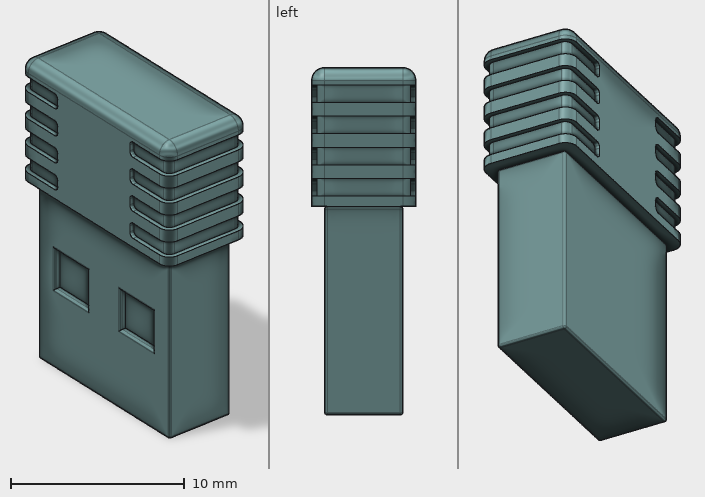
import cadquery as cq

PLUG_WIDTH = 12.0
PLUG_DEPTH = 4.5
PLUG_HEIGHT = 12.0
PLUG_EDGE_RADIUS = 0.15

CAP_OVERHANG = 0.75
CAP_WIDTH = PLUG_WIDTH + 2 * CAP_OVERHANG
CAP_DEPTH = PLUG_DEPTH + 2 * CAP_OVERHANG
CAP_HEIGHT = 8.0
CAP_RADIUS = 0.75
TOTAL_HEIGHT = PLUG_HEIGHT + CAP_HEIGHT

GROOVE_COUNT = 4
GROOVE_HEIGHT = 1.0
GROOVE_PITCH = 1.8
GROOVE_DEPTH = 0.3
GROOVE_LENGTH = 3.45
GROOVE_CORNER_RADIUS = 0.3
FIRST_GROOVE_DROP = 1.0

WINDOW_WIDTH = 3.0
WINDOW_HEIGHT = 2.65
WINDOW_POCKET_DEPTH = 0.4
WINDOW_SPACING = 6.0
WINDOW_BASE = 5.25
WINDOW_RIM_RADIUS = 0.15


def block(width, depth, height, base=0):
    """Box centred on the Z axis, standing at the given height."""
    box = cq.Workplane("XY").box(width, depth, height, centered=(True, True, False))
    return box.translate((0, 0, base))


def make_plug():
    """Connector block with every edge slightly rounded."""
    return block(PLUG_WIDTH, PLUG_DEPTH, PLUG_HEIGHT).edges().fillet(PLUG_EDGE_RADIUS)


def make_cap():
    """Housing with rounded vertical edges and a rounded top rim."""
    return block(CAP_WIDTH, CAP_DEPTH, CAP_HEIGHT, PLUG_HEIGHT).edges("|Z or >Z").fillet(CAP_RADIUS)


def groove_pair(top):
    """Cutter for one groove at each end of the cap, reaching around onto the broad faces."""
    base = top - GROOVE_HEIGHT
    core_width = CAP_WIDTH - 2 * GROOVE_DEPTH
    core_depth = CAP_DEPTH - 2 * GROOVE_DEPTH
    core = block(core_width, core_depth, GROOVE_HEIGHT, base)
    core = core.edges("|Z").fillet(CAP_RADIUS - GROOVE_DEPTH)

    land_width = CAP_WIDTH - 2 * GROOVE_LENGTH
    land = block(land_width, CAP_DEPTH, GROOVE_HEIGHT, base)
    land_reach = land_width / 2 + GROOVE_CORNER_RADIUS
    closed_ends = cq.selectors.BoxSelector(
        (-land_reach, -CAP_DEPTH, base - GROOVE_HEIGHT),
        (land_reach, CAP_DEPTH, top + GROOVE_HEIGHT),
    )

    cutter = block(CAP_WIDTH, CAP_DEPTH, GROOVE_HEIGHT, base).cut(core).cut(land)
    return cutter.edges("|Y").edges(closed_ends).fillet(GROOVE_CORNER_RADIUS)


def cut_grooves(body):
    """Cut the evenly spaced grooves, from the highest down."""
    for index in range(GROOVE_COUNT):
        groove_top = TOTAL_HEIGHT - FIRST_GROOVE_DROP - index * GROOVE_PITCH
        body = body.cut(groove_pair(groove_top))
    return body


def window_rim(center):
    """Selector for the edges where a window meets the plug face at the given centre."""
    x, y, z = center
    half_width = WINDOW_WIDTH / 2 + WINDOW_RIM_RADIUS
    half_height = WINDOW_HEIGHT / 2 + WINDOW_RIM_RADIUS
    return cq.selectors.BoxSelector(
        (x - half_width, y - WINDOW_RIM_RADIUS, z - half_height),
        (x + half_width, y + WINDOW_RIM_RADIUS, z + half_height),
    )


def cut_windows(body):
    """Cut two windows in the front face of the plug and round over their rims."""
    window_center_height = WINDOW_BASE + WINDOW_HEIGHT / 2
    for side in (-1, 1):
        center = (side * WINDOW_SPACING / 2, -PLUG_DEPTH / 2, window_center_height)
        cutter = cq.Workplane("XY").box(WINDOW_WIDTH, 2 * WINDOW_POCKET_DEPTH, WINDOW_HEIGHT)
        body = body.cut(cutter.translate(center))
        body = body.edges(window_rim(center)).fillet(WINDOW_RIM_RADIUS)
    return body


result = cut_windows(cut_grooves(make_plug().union(make_cap())))